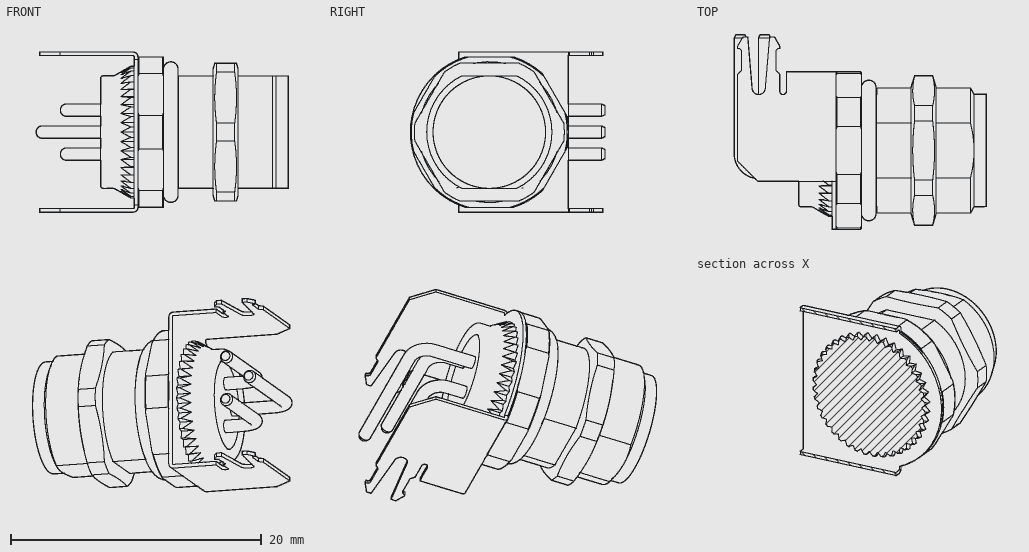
import cadquery as cq
import math


COLLAR_X = 5.15
COLLAR_DIAMETER = 9.0
COLLAR_RADIUS = COLLAR_DIAMETER / 2
COLLAR_ROUND = 0.2
CONE_X = 6.25
CONE_BLEND = 0.3
KNURL_RADIUS = 5.28
KNURL_CREST_X = 7.58
KNURL_ROOT_RADIUS = 4.82
KNURL_COUNT = 40
RECESS_RADIUS = 3.55
RECESS_ROUND = 0.2
RECESS_DEPTH = 0.25

SHEET = 0.3
PLATE_X = 7.84
BEND_RADIUS = 0.38
PLATE_RADIUS = 6.3
BRACKET_HEIGHT = 12.8
WING_BOTTOM_Y = -2.45
WING_LEFT_X = 0.28
WING_CHAMFER = 1.61
NECK_RADIUS = 4.45

PRONG_HALF = 1.7
PRONG_AXIS_X = WING_LEFT_X + PRONG_HALF
PRONG_TOP_Y = 9.07
PRONG_TOP_HALF = 1.27
WAIST_HALF = 1.4
BARB_TOP_Y = 8.32
BARB_LOW_Y = 8.15
BARB_FLAT = 0.15
WAIST_TOP_Y = 8.0
WAIST_LOW_Y = 6.39
SHOULDER_Y = 6.09
SLOT_BOTTOM_Y = 4.47
SLOT_TOP_HALF = 0.87
SLOT_LOW_HALF = 0.52
RELIEF_WIDTH = 0.5

FLANGE_X = PLATE_X + SHEET
FLANGE_END_X = 10.18
FLANGE_FLAT = 6.0
FLANGE_CHAMFER = 0.08
SEAL_SECTION = 1.17
SEAL_OUTER_RADIUS = 5.62
SEAL_CLEARANCE = 0.05
BODY_X = FLANGE_END_X + SEAL_SECTION + SEAL_CLEARANCE
BODY_RADIUS = 5.0
BODY_FLAT = 4.5
BODY_END_X = 19.16
BODY_CHAMFER_LENGTH = 0.28
NOSE_RADIUS = 4.5
NOSE_X = 20.15

NUT_X = 14.13
NUT_LENGTH = 2.02
NUT_FLAT = 5.5
NUT_RADIUS = 5.98
NUT_FACE_RADIUS = 5.05
NUT_CHAMFER_LENGTH = 0.28

PIN_RADIUS = 0.5
PIN_CIRCLE_RADIUS = 1.75
PIN_BEND = 1.51
OVERALL_WIDTH = 15.55
PIN_TIP_Y = OVERALL_WIDTH - PLATE_RADIUS
PIN_TIP_LENGTH = 0.28
PIN_TIP_INSET = 0.15
PIN_ROW_PITCH = 1.93


def revolve_about_x(points):
    """Revolve a closed (x, radius) outline about the X axis."""
    return cq.Workplane("XY").polyline(points).close().revolve(360, (0, 0, 0), (1, 0, 0))


def cylinder(x_start, x_end, radius):
    return cq.Workplane("YZ").workplane(offset=x_start).circle(radius).extrude(x_end - x_start)


def hexagon(x_start, x_end, half_flats):
    """Hexagonal prism along X with a pair of flats facing +Z and -Z."""
    corner_diameter = 2 * half_flats / math.cos(math.pi / 6)
    prism = cq.Workplane("YZ").workplane(offset=x_start).polygon(6, corner_diameter)
    return prism.extrude(x_end - x_start)


def make_rear_collar():
    """Rounded collar and crimp cone; V grooves along the axis cut the cone into teeth."""
    collar = revolve_about_x([
        (COLLAR_X, 0), (COLLAR_X, COLLAR_RADIUS), (CONE_X, COLLAR_RADIUS),
        (KNURL_CREST_X, KNURL_RADIUS), (PLATE_X, KNURL_RADIUS), (PLATE_X, 0),
    ])
    collar = collar.faces("<X").edges().fillet(COLLAR_ROUND)
    cone_foot = cq.selectors.BoxSelector(
        (CONE_X - CONE_BLEND / 2, -KNURL_RADIUS, -KNURL_RADIUS),
        (CONE_X + CONE_BLEND / 2, KNURL_RADIUS, KNURL_RADIUS))
    collar = collar.edges("%CIRCLE").edges(cone_foot).fillet(CONE_BLEND)
    step = 2 * math.pi / KNURL_COUNT
    star = []
    for i in range(KNURL_COUNT):
        for radius, angle in ((KNURL_ROOT_RADIUS, i * step), (KNURL_RADIUS, (i + 0.5) * step)):
            star.append((radius * math.cos(angle), radius * math.sin(angle)))
    teeth = cq.Workplane("YZ").workplane(offset=COLLAR_X).polyline(star).close()
    return collar.intersect(teeth.extrude(PLATE_X - COLLAR_X))


def make_flange():
    """Hexagonal flange with its corners rounded and chamfered by a coaxial cylinder."""
    limit = cylinder(FLANGE_X, FLANGE_END_X, PLATE_RADIUS).edges("%CIRCLE").chamfer(FLANGE_CHAMFER)
    return hexagon(FLANGE_X, FLANGE_END_X, FLANGE_FLAT).intersect(limit)


def between_flats(x_start, x_end):
    """Slab along X that fills the space between the threaded section's two flats."""
    slab = cq.Workplane("YZ").workplane(offset=x_start).rect(2 * BODY_RADIUS, 2 * BODY_FLAT)
    return slab.extrude(x_end - x_start)


def make_threaded_body():
    """Threaded section with two flats and a chamfered front end."""
    body = revolve_about_x([
        (BODY_X, 0), (BODY_X, BODY_RADIUS), (BODY_END_X - BODY_CHAMFER_LENGTH, BODY_RADIUS),
        (BODY_END_X, NOSE_RADIUS), (BODY_END_X, 0),
    ])
    return body.intersect(between_flats(BODY_X, BODY_END_X))


def make_contact(bend_x, y, z):
    """Round contact leaving the recess floor rearwards and bending up to +Y."""
    path = (
        cq.Workplane("XY", origin=(0, 0, z))
        .moveTo(COLLAR_X + RECESS_DEPTH, y)
        .lineTo(bend_x + PIN_BEND, y)
        .radiusArc((bend_x, y + PIN_BEND), PIN_BEND)
        .lineTo(bend_x, PIN_TIP_Y)
    )
    start = cq.Workplane("YZ", origin=(COLLAR_X + RECESS_DEPTH, y, z))
    contact = start.circle(PIN_RADIUS).sweep(path)
    return contact.faces(">Y").chamfer(PIN_TIP_LENGTH, PIN_TIP_INSET)


def make_housing():
    """Housing with its moulded-in contacts, as one solid."""
    groove_radius = SEAL_OUTER_RADIUS - SEAL_SECTION
    recess = cylinder(COLLAR_X, COLLAR_X + RECESS_DEPTH, RECESS_RADIUS)
    housing = make_rear_collar().cut(recess)
    recess_rim = cq.selectors.RadiusNthSelector(0)
    housing = housing.faces("<X").edges("%CIRCLE").edges(recess_rim).fillet(RECESS_ROUND)
    housing = housing.union(cylinder(PLATE_X, FLANGE_X, NECK_RADIUS))
    housing = housing.union(make_flange())
    housing = housing.union(cylinder(FLANGE_END_X, BODY_X, groove_radius))
    housing = housing.union(make_threaded_body())
    housing = housing.union(cylinder(BODY_END_X, NOSE_X, NOSE_RADIUS))
    outer_bend_x = PIN_RADIUS + PIN_ROW_PITCH
    contacts = (
        (PIN_RADIUS, -PIN_CIRCLE_RADIUS, 0),
        (outer_bend_x, 0, PIN_CIRCLE_RADIUS),
        (outer_bend_x, 0, -PIN_CIRCLE_RADIUS),
    )
    for contact in contacts:
        housing = housing.union(make_contact(*contact))
    return housing


def make_seal():
    """Sealing ring of round section, seated in the groove beside the flange."""
    section_radius = SEAL_SECTION / 2
    center = (FLANGE_END_X + section_radius, SEAL_OUTER_RADIUS - section_radius)
    return cq.Workplane("XY").moveTo(*center).circle(section_radius).revolve(360, (0, 0, 0), (1, 0, 0))


def make_nut():
    """Hexagon nut, chamfered on both faces; its bore fits the threaded section's flats."""
    end = NUT_X + NUT_LENGTH
    limit = revolve_about_x([
        (NUT_X, 0), (NUT_X, NUT_FACE_RADIUS), (NUT_X + NUT_CHAMFER_LENGTH, NUT_RADIUS),
        (end - NUT_CHAMFER_LENGTH, NUT_RADIUS), (end, NUT_FACE_RADIUS), (end, 0),
    ])
    bore = cylinder(NUT_X, end, BODY_RADIUS).intersect(between_flats(NUT_X, end))
    return hexagon(NUT_X, end, NUT_FLAT).intersect(limit).cut(bore)


def wing_outline():
    """Side wing in the XY plane, from the prongs to the bent edge."""
    def prong(side, half, y):
        return (PRONG_AXIS_X + side * half, y)

    relief_x = PRONG_AXIS_X + PRONG_HALF
    slot_arc_y = SLOT_BOTTOM_Y + SLOT_LOW_HALF
    relief_arc_y = SLOT_BOTTOM_Y + RELIEF_WIDTH / 2
    outer_side = [
        (PRONG_HALF, SHOULDER_Y), (WAIST_HALF, WAIST_LOW_Y), (WAIST_HALF, WAIST_TOP_Y),
        (WAIST_HALF + BARB_FLAT, BARB_LOW_Y), (PRONG_HALF, BARB_LOW_Y),
        (PRONG_HALF, BARB_TOP_Y), (PRONG_TOP_HALF, PRONG_TOP_Y), (SLOT_TOP_HALF, PRONG_TOP_Y),
        (SLOT_LOW_HALF, slot_arc_y),
    ]
    outline = cq.Workplane("XY").moveTo(WING_LEFT_X + WING_CHAMFER, WING_BOTTOM_Y)
    outline = outline.lineTo(WING_LEFT_X, WING_BOTTOM_Y + WING_CHAMFER)
    for half, y in outer_side:
        outline = outline.lineTo(*prong(-1, half, y))
    outline = outline.threePointArc((PRONG_AXIS_X, SLOT_BOTTOM_Y), prong(1, SLOT_LOW_HALF, slot_arc_y))
    for half, y in reversed(outer_side[:-1]):
        outline = outline.lineTo(*prong(1, half, y))
    return (
        outline.lineTo(relief_x, relief_arc_y)
        .threePointArc((relief_x + RELIEF_WIDTH / 2, SLOT_BOTTOM_Y), (relief_x + RELIEF_WIDTH, relief_arc_y))
        .lineTo(relief_x + RELIEF_WIDTH, PLATE_RADIUS)
        .lineTo(FLANGE_X, PLATE_RADIUS)
        .lineTo(FLANGE_X, WING_BOTTOM_Y)
        .close()
    )


def make_bracket():
    """U-shaped sheet bracket: a plate around the neck and two pronged wings."""
    half = BRACKET_HEIGHT / 2
    u_section = (
        cq.Workplane("XZ", origin=(0, WING_BOTTOM_Y, 0))
        .moveTo(0, half).lineTo(FLANGE_X, half).lineTo(FLANGE_X, -half).lineTo(0, -half)
        .lineTo(0, SHEET - half).lineTo(PLATE_X, SHEET - half)
        .lineTo(PLATE_X, half - SHEET).lineTo(0, half - SHEET).close()
        .extrude(WING_BOTTOM_Y - PRONG_TOP_Y)
    )
    u_section = u_section.edges("|Y and >X").fillet(BEND_RADIUS)
    inner_corners = cq.selectors.BoxSelector(
        (PLATE_X - SHEET, WING_BOTTOM_Y, -half), (PLATE_X + SHEET / 2, PRONG_TOP_Y, half))
    u_section = u_section.edges("|Y").edges(inner_corners).fillet(BEND_RADIUS - SHEET)
    wings = wing_outline().extrude(half, both=True)
    disc = cylinder(PLATE_X, FLANGE_X, PLATE_RADIUS)
    below_wings = cq.Workplane("XY").box(
        2 * NOSE_X, PLATE_RADIUS, BRACKET_HEIGHT, centered=(True, False, True)
    ).translate((0, WING_BOTTOM_Y - PLATE_RADIUS, 0))
    rounded_end = disc.intersect(below_wings)
    return u_section.intersect(wings).union(rounded_end).cut(cylinder(PLATE_X, FLANGE_X, NECK_RADIUS))


housing = make_housing()
bracket = make_bracket()
seal = make_seal()
nut = make_nut()

result = cq.Compound.makeCompound([housing.val(), bracket.val(), seal.val(), nut.val()])